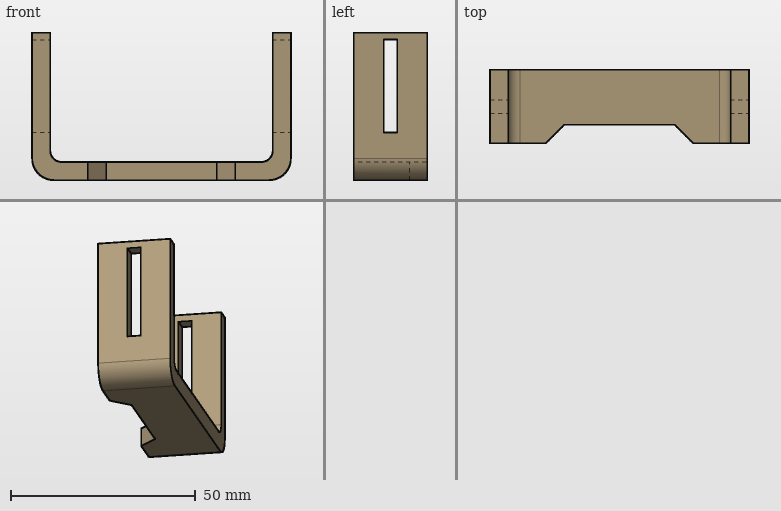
import cadquery as cq

length = 70.2
width = 20.0
height = 40.0
thickness = 5.0

outer_radius = 6.0
inner_radius = 3.0

notch_depth = 5.0
notch_mouth = 40.0
notch_floor = notch_mouth - 2 * notch_depth

slot_width = 3.65
slot_height = 25.1
slot_top_margin = 1.9


def make_channel():
    """Upright U section, centred on X and Y, with its base on Z = 0."""
    outside = (
        cq.Workplane("XY")
        .box(length, width, height, centered=(True, True, False))
        .edges("|Y and <Z")
        .fillet(outer_radius)
    )
    inside = (
        cq.Workplane("XY")
        .workplane(offset=thickness)
        .box(length - 2 * thickness, width, height, centered=(True, True, False))
        .edges("|Y and <Z")
        .fillet(inner_radius)
    )
    return outside.cut(inside)


def make_notch():
    """Trapezoid that narrows from the front edge towards the middle."""
    front = -width / 2
    return (
        cq.Workplane("XY")
        .polyline([
            (-notch_mouth / 2, front),
            (notch_mouth / 2, front),
            (notch_floor / 2, front + notch_depth),
            (-notch_floor / 2, front + notch_depth),
        ])
        .close()
        .extrude(thickness)
    )


def make_slots():
    """One bar along X that opens the slot in both arms."""
    slot_centre = height - slot_top_margin - slot_height / 2
    return (
        cq.Workplane("XY")
        .box(length, slot_width, slot_height)
        .translate((0, 0, slot_centre))
    )


result = make_channel().cut(make_notch()).cut(make_slots())